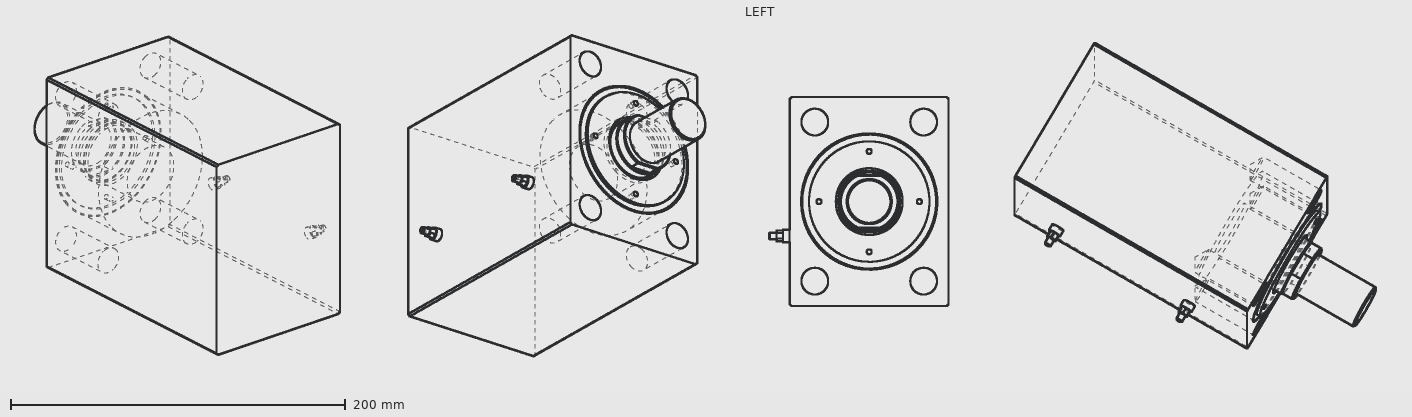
import cadquery as cq
import math


housing_length = 161.0
housing_width = 95.0
housing_height = 125.0
long_edge_chamfer = 1.2
bore_mouth_chamfer = 0.75

mount_hole_diameter = 16.0
mount_hole_depth = 40.0
mount_spacing_y = 65.0
mount_spacing_z = 95.0
drill_tip_angle = 118.0

gland_diameter = 80.0
gland_depth = 40.0
gland_boss_diameter = 72.0
gland_boss_height = 2.0
spanner_hole_diameter = 3.0
spanner_hole_depth = 5.0
spanner_circle_diameter = 60.0
spanner_hole_count = 4

wiper_diameter = 40.0
wiper_length = 5.0
wiper_land = 0.6

rod_diameter = 36.0
rod_overhang = 54.0
stud_diameter = 27.0
stud_length = 40.0
stud_chamfer = 0.8
wrench_diameter = 35.0
wrench_length = 7.0
wrench_flat_width = 32.0
rod_edge_chamfer = 0.6

bleed_from_front = 40.0
bleed_from_back = 30.0
bleed_z = -20.5
bleed_base_diameter = 7.6
bleed_base_height = 4.0
bleed_hex_flats = 5.6
bleed_hex_height = 3.8
bleed_tip_diameter = 4.0
bleed_tip_height = 4.7
bleed_tip_chamfer = 0.6


def cylinder_x(diameter, start, end):
    """Cylinder on the X axis between two X positions."""
    return cq.Workplane("YZ", origin=(start, 0, 0)).circle(diameter / 2).extrude(end - start)


def drilled_hole(diameter, depth, start, y, z):
    """Blind hole tool drilled toward +X, with a conical tip beyond the full depth."""
    radius = diameter / 2
    tip = radius / math.tan(math.radians(drill_tip_angle / 2))
    return (
        cq.Workplane("XY", origin=(start, y, z))
        .lineTo(0, radius)
        .lineTo(depth, radius)
        .lineTo(depth + tip, 0)
        .close()
        .revolve(360, (0, 0, 0), (1, 0, 0))
    )


def make_housing():
    block = (
        cq.Workplane("XY")
        .box(housing_length, housing_width, housing_height, centered=(False, True, True))
        .edges("|X")
        .chamfer(long_edge_chamfer)
    )
    block = block.cut(cylinder_x(gland_diameter, 0, gland_depth))
    block = block.faces("<X").edges("%CIRCLE").chamfer(bore_mouth_chamfer)
    for y in (-mount_spacing_y / 2, mount_spacing_y / 2):
        for z in (-mount_spacing_z / 2, mount_spacing_z / 2):
            block = block.cut(drilled_hole(mount_hole_diameter, mount_hole_depth, 0, y, z))
    return block


def make_gland():
    gland = cylinder_x(gland_diameter, 0, gland_depth)
    gland = gland.union(cylinder_x(gland_boss_diameter, -gland_boss_height, 0))
    gland = gland.cut(cylinder_x(rod_diameter, -gland_boss_height, gland_depth))
    gland = gland.cut(cylinder_x(wiper_diameter, -gland_boss_height, wiper_length - gland_boss_height))
    for index in range(spanner_hole_count):
        angle = 2 * math.pi * index / spanner_hole_count
        y = spanner_circle_diameter / 2 * math.cos(angle)
        z = spanner_circle_diameter / 2 * math.sin(angle)
        gland = gland.cut(
            drilled_hole(spanner_hole_diameter, spanner_hole_depth, -gland_boss_height, y, z)
        )
    return gland


def make_wiper():
    """Ring with a 45 degree conical mouth that narrows to a flat land against the rod."""
    outer_radius = wiper_diameter / 2
    inner_radius = rod_diameter / 2
    land_radius = inner_radius + wiper_land
    mouth_depth = outer_radius - land_radius
    return (
        cq.Workplane("XY", origin=(-gland_boss_height, 0, 0))
        .moveTo(0, outer_radius)
        .lineTo(mouth_depth, land_radius)
        .lineTo(mouth_depth, inner_radius)
        .lineTo(wiper_length, inner_radius)
        .lineTo(wiper_length, outer_radius)
        .close()
        .revolve(360, (0, 0, 0), (1, 0, 0))
    )


def make_rod():
    stud_start = -rod_overhang
    wrench_start = stud_start + stud_length
    body_start = wrench_start + wrench_length
    stud = cylinder_x(stud_diameter, stud_start, wrench_start).faces("<X").chamfer(stud_chamfer)
    wrench = cylinder_x(wrench_diameter, wrench_start, body_start)
    flats = cq.Workplane("XY", origin=(wrench_start, 0, 0)).box(
        wrench_length, wrench_diameter, wrench_flat_width, centered=(False, True, True)
    )
    wrench = wrench.intersect(flats).faces("<X").chamfer(rod_edge_chamfer)
    body = cylinder_x(rod_diameter, body_start, gland_depth).faces("<X").chamfer(rod_edge_chamfer)
    return body.union(wrench).union(stud)


def make_bleed_screw(x):
    """Bleed screw standing on the +Y face: round base, hexagon and chamfered tip."""
    hex_corners = bleed_hex_flats / math.cos(math.pi / 6)
    hex_start = housing_width / 2 + bleed_base_height
    tip_start = hex_start + bleed_hex_height

    def section(y):
        return cq.Workplane(cq.Plane(origin=(x, y, bleed_z), xDir=(0, 0, 1), normal=(0, 1, 0)))

    base = section(housing_width / 2).circle(bleed_base_diameter / 2).extrude(bleed_base_height)
    hexagon = section(hex_start).polygon(6, hex_corners).extrude(bleed_hex_height)
    tip = section(tip_start).circle(bleed_tip_diameter / 2).extrude(bleed_tip_height)
    tip = tip.faces(">Y").chamfer(bleed_tip_chamfer)
    return base.union(hexagon).union(tip)


housing = make_housing()
gland = make_gland()
wiper = make_wiper()
rod = make_rod()
bleed_positions = (bleed_from_front, housing_length - bleed_from_back)
bleed_screws = [make_bleed_screw(x) for x in bleed_positions]

result = cq.Compound.makeCompound(
    [housing.val(), gland.val(), wiper.val(), rod.val(), *[screw.val() for screw in bleed_screws]]
)